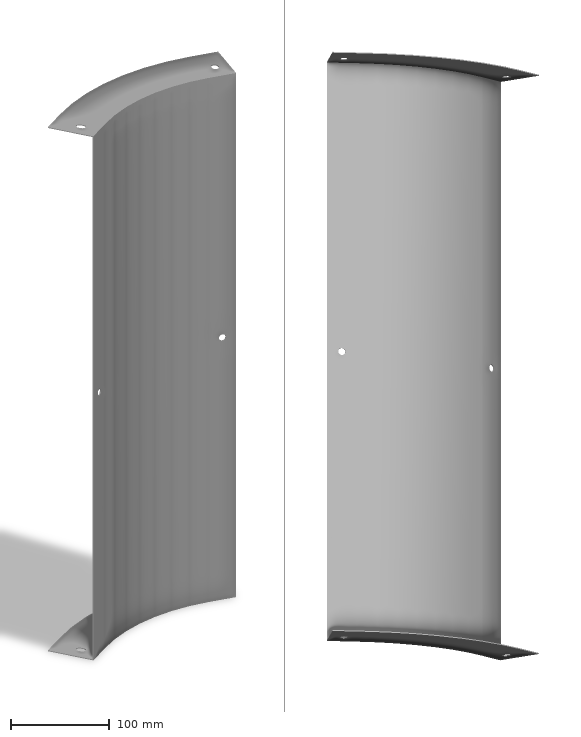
import cadquery as cq
import math

height = 600.0
flange_width = 50.5
sheet = 1.0
wall_radius = 189.5
end_length = 30.0
bend_angle = 45.0
hole_diameter = 7.0
slot_length = 10.0
hole_setback = 15.0
slot_inset = 20.5

center_x = flange_width + wall_radius
center_y = end_length


def path_point(radius, angle, run):
    """Point on the bend at an angle, moved along its tangent by a run."""
    turn = math.radians(angle)
    x = center_x - radius * math.cos(turn) + run * math.sin(turn)
    y = center_y + radius * math.sin(turn) + run * math.cos(turn)
    return (x, y)


def curved_strip(width, thickness, base_z):
    """Extruded strip that reaches outward from the concave edge."""
    inner = wall_radius
    outer = wall_radius + width
    return (
        cq.Workplane("XY", origin=(0, 0, base_z))
        .moveTo(*path_point(inner, 0, -end_length))
        .lineTo(*path_point(inner, 0, 0))
        .threePointArc(path_point(inner, bend_angle / 2, 0), path_point(inner, bend_angle, 0))
        .lineTo(*path_point(inner, bend_angle, end_length))
        .lineTo(*path_point(outer, bend_angle, end_length))
        .lineTo(*path_point(outer, bend_angle, 0))
        .threePointArc(path_point(outer, bend_angle / 2, 0), path_point(outer, 0, 0))
        .lineTo(*path_point(outer, 0, -end_length))
        .close()
        .extrude(thickness)
    )


def flange_slots(angle, run):
    """Slot through both flanges, lying across the strip."""
    x, y = path_point(wall_radius + slot_inset, angle, run)
    return (
        cq.Workplane("XY")
        .center(x, y)
        .slot2D(slot_length, hole_diameter, -angle)
        .extrude(height)
    )


def wall_hole(angle, run):
    """Round hole through the wall at mid height, square to its face."""
    x, y = path_point(wall_radius, angle, run)
    turn = math.radians(angle)
    outward = cq.Vector(-math.cos(turn), math.sin(turn), 0)
    depth = 2 * sheet
    start = cq.Vector(x, y, height / 2) - outward * (sheet / 2)
    return cq.Solid.makeCylinder(hole_diameter / 2, depth, start, outward)


result = curved_strip(sheet, height, 0)
for flange_z in (0, height - sheet):
    result = result.union(curved_strip(flange_width, sheet, flange_z))

end_run = end_length - hole_setback
for end_angle, hole_run in ((0, -end_run), (bend_angle, end_run)):
    result = result.cut(flange_slots(end_angle, hole_run))
    result = result.cut(wall_hole(end_angle, hole_run))